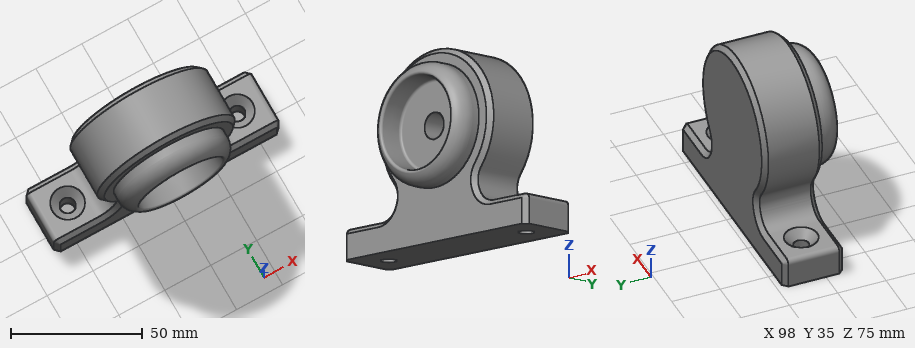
import cadquery as cq
import math

foot_length = 98.0
foot_height = 12.1
plate_depth = 25.0
head_radius = 30.0
total_height = 75.0
head_center_z = total_height - head_radius

neck_radius = 8.0
upper_arc_z = 21.1
lower_arc_z = foot_height + neck_radius
lower_arc_x = head_radius

chamfer_size = 2.0
foot_end_radius = 2.1

boss_radius = 24.0
boss_length = 10.0
boss_straight = 3.4
boss_round_radius = 7.1
rim_outer_radius = 19.9
rim_crest_radius = 19.3
rim_inner_radius = 18.4
rim_drop = 0.8

recess_floor_radius = 17.0
recess_corner_radius = 1.1

bore_diameter = 10.4
bore_depth = 15.0
screw_x = 36.9
screw_diameter = 6.2
countersink_diameter = 13.2
countersink_angle = 90


def point_on_arc(center, radius, angle):
    return (center[0] + radius * math.cos(angle), center[1] + radius * math.sin(angle))


def mirrored(point):
    return (-point[0], point[1])


def make_plate():
    arc_to_head = head_radius + neck_radius
    upper_rise = upper_arc_z - head_center_z
    upper = (math.sqrt(arc_to_head**2 - upper_rise**2), upper_arc_z)
    lower = (lower_arc_x, lower_arc_z)

    line_angle = math.atan2(upper[1] - lower[1], upper[0] - lower[0]) + math.pi / 2
    head_angle = math.atan2(head_center_z - upper[1], -upper[0])
    foot_angle = 3 * math.pi / 2

    foot_touch = (lower_arc_x, foot_height)
    lower_mid = point_on_arc(lower, neck_radius, (foot_angle + line_angle) / 2)
    lower_end = point_on_arc(lower, neck_radius, line_angle)
    upper_end = point_on_arc(upper, neck_radius, line_angle)
    upper_mid = point_on_arc(upper, neck_radius, (line_angle + head_angle) / 2)
    head_touch = point_on_arc(upper, neck_radius, head_angle)

    half_length = foot_length / 2
    plate = (
        cq.Workplane("XZ")
        .moveTo(-half_length, 0)
        .lineTo(half_length, 0)
        .lineTo(half_length, foot_height)
        .lineTo(*foot_touch)
        .threePointArc(lower_mid, lower_end)
        .lineTo(*upper_end)
        .threePointArc(upper_mid, head_touch)
        .threePointArc((0, total_height), mirrored(head_touch))
        .threePointArc(mirrored(upper_mid), mirrored(upper_end))
        .lineTo(*mirrored(lower_end))
        .threePointArc(mirrored(lower_mid), mirrored(foot_touch))
        .lineTo(-half_length, foot_height)
        .close()
        .extrude(-plate_depth)
    )

    foot_ends = cq.selectors.BoxSelector(
        (-foot_length, -1, foot_height - 1), (foot_length, plate_depth + 1, foot_height + 1)
    )
    plate = plate.edges("|Y").edges(foot_ends).edges("<X or >X").fillet(foot_end_radius)
    outline = plate.faces("<Y or >Y").edges().edges("not(<Z)")
    return plate.newObject(outline.vals()).chamfer(chamfer_size)


def make_boss():
    round_center = (boss_radius - boss_round_radius, boss_straight)
    rim_angle = math.acos((rim_outer_radius - round_center[0]) / boss_round_radius)
    round_mid = point_on_arc(round_center, boss_round_radius, rim_angle / 2)
    rim_outer = point_on_arc(round_center, boss_round_radius, rim_angle)

    corner_center = (recess_floor_radius, recess_corner_radius)
    corner_mid = point_on_arc(corner_center, recess_corner_radius, -math.pi / 4)
    wall_foot = point_on_arc(corner_center, recess_corner_radius, 0)

    root = -chamfer_size
    boss = (
        cq.Workplane("XY")
        .moveTo(0, root)
        .lineTo(boss_radius, root)
        .lineTo(boss_radius, boss_straight)
        .threePointArc(round_mid, rim_outer)
        .threePointArc((rim_crest_radius, boss_length), (rim_inner_radius, boss_length - rim_drop))
        .lineTo(*wall_foot)
        .threePointArc(corner_mid, (recess_floor_radius, 0))
        .lineTo(0, 0)
        .close()
        .revolve(360, (0, 0, 0), (0, 1, 0))
    )
    return boss.rotate((0, 0, 0), (1, 0, 0), 180).translate((0, 0, head_center_z))


def make_bore():
    return (
        cq.Workplane("XZ")
        .center(0, head_center_z)
        .circle(bore_diameter / 2)
        .extrude(-bore_depth)
    )


def make_screw_hole(x):
    shank_radius = screw_diameter / 2
    mouth_radius = countersink_diameter / 2
    cone_depth = (mouth_radius - shank_radius) / math.tan(math.radians(countersink_angle / 2))
    return (
        cq.Workplane("XZ")
        .lineTo(shank_radius, 0)
        .lineTo(shank_radius, foot_height - cone_depth)
        .lineTo(mouth_radius, foot_height)
        .lineTo(0, foot_height)
        .close()
        .revolve(360, (0, 0, 0), (0, 1, 0))
        .translate((x, plate_depth / 2, 0))
    )


result = make_plate().union(make_boss()).cut(make_bore())
for x in (-screw_x, screw_x):
    result = result.cut(make_screw_hole(x))